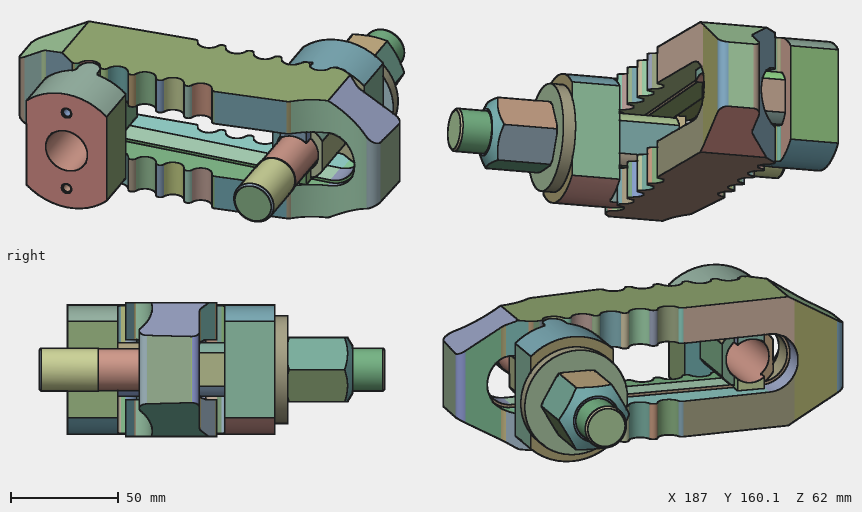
import cadquery as cq
import math


ARM_LENGTH = 187.0
ARM_HEIGHT = 62.0
LAND_Y = 21.1
LEFT_TIP_BACK_Y = 18.1
LEFT_TIP_FRONT_Y = -2.0
RIGHT_TIP_BACK_Y = 13.0
BACK_TAPER_START_X = 24.7
BACK_LAND_END_X = 154.0
RIGHT_TIP_NECK_X = 164.7
FRONT_INCLINE_START_X = 13.8
FRONT_LAND_START_X = 35.7
HOLLOW_START_X = 142.5
HOLLOW_RADIUS = 30.0
HOLLOW_CENTER_X = 163.0
HOLLOW_CENTER_Y = -38.7
RIGHT_CORNER_X = 187.2
NOSE_CORNER_X = 185.7
LEFT_TIP_RADIUS = 4.0
RIGHT_TIP_RADIUS = 3.7
BEND_RADIUS = 3.7
TIP_HEIGHT = 30.7
LEFT_TAPER_LENGTH = 27.7
RIGHT_TAPER_LENGTH = 28.0

GROOVE_COUNT = 5
GROOVE_PITCH = 14.0
TOOTH_RADIUS = 2.0
GROOVE_RADIUS = math.hypot(GROOVE_PITCH / 2, TOOTH_RADIUS) - TOOTH_RADIUS
FRONT_SADDLE_X = 44.0
STUD_X = 142.9

SLOT_WIDTH = 27.9
RIDGE_GAP = 25.0
RIDGE_THICKNESS = 12.3
SLOT_LEFT_CENTER_X = 36.8
SLOT_RIGHT_CENTER_X = 158.8

SADDLE_DIAMETER = 60.0
SADDLE_WIDTH = 40.2
SADDLE_INNER_Y = 24.7
SADDLE_OUTER_Y = 48.0
RIB_FILLET = 1.5
BORE_DIAMETER = 21.0
GUIDE_WIDTH = 24.9
GUIDE_DIAMETER = 29.4
GUIDE_END_Y = -7.3
HOOK_WIDTH = 13.0
HOOK_SPAN = 27.7
HOOK_END_Y = -12.5
PIN_HOLE_DIAMETER = 4.0
PIN_HOLE_DEPTH = 9.4
PIN_HOLE_CHAMFER = 0.5
DRILL_POINT_ANGLE = 118.0
PIN_HOLE_OFFSET = 20.0

WASHER_DIAMETER = 50.1
WASHER_THICKNESS = 6.0
NUT_SIDES = 6
NUT_ACROSS_FLATS = 30.0
NUT_THICKNESS = 30.0
NUT_TOP_DIAMETER = 22.0
NUT_BASE_DIAMETER = 32.5
NUT_CHAMFER_ANGLE = 30.0

STUD_DIAMETER = 20.0
SHANK_DIAMETER = 19.5
STUD_BOTTOM_Y = -61.1
STUD_TOP_Y = 99.0
SHANK_BOTTOM_Y = -33.8
STUD_CHAMFER = 1.0


def cylinder_y(diameter, y_start, y_end, x=0, z=0):
    """Cylinder along Y between two y values."""
    return (
        cq.Workplane("XZ", origin=(x, y_start, z))
        .circle(diameter / 2)
        .extrude(y_start - y_end)
    )


def block(width, y_start, y_end, height):
    """Box centred on x = 0 and z = 0, between two y values."""
    return cq.Workplane("XY").box(width, y_end - y_start, height).translate((0, (y_start + y_end) / 2, 0))


def slot_prism(width, thickness):
    """Round-ended prism along the arm, centred on its middle planes."""
    spacing = SLOT_RIGHT_CENTER_X - SLOT_LEFT_CENTER_X
    middle_x = (SLOT_RIGHT_CENTER_X + SLOT_LEFT_CENTER_X) / 2
    return (
        cq.Workplane("XZ", origin=(middle_x, 0, 0))
        .slot2D(spacing + width, width)
        .extrude(thickness / 2, both=True)
    )


def hollow_y(x):
    """The y of the concave arc under the right tip at a given x."""
    return HOLLOW_CENTER_Y + math.sqrt(HOLLOW_RADIUS**2 - (x - HOLLOW_CENTER_X) ** 2)


def round_edges(body, radius, points):
    """Round the edges along Z that cross the z = 0 plane at the given points."""
    for x, y in points:
        body = body.edges(cq.selectors.NearestToPointSelector((x, y, 0))).fillet(radius)
    return body


def add_teeth(outline, first_x, side, step):
    """Continue an outline along one row of grooves, from crest to crest.

    side is the sign of y of the toothed face, step the sign of the X direction of the row.
    """
    land_y = side * LAND_Y
    groove_share = GROOVE_RADIUS / (GROOVE_RADIUS + TOOTH_RADIUS)
    tangent_dx = step * groove_share * GROOVE_PITCH / 2
    tangent_y = land_y - side * groove_share * TOOTH_RADIUS
    for i in range(GROOVE_COUNT):
        x = first_x + step * i * GROOVE_PITCH
        crest_x = x + step * GROOVE_PITCH / 2
        outline = (
            outline.tangentArcPoint((x - tangent_dx, tangent_y), relative=False)
            .threePointArc((x, land_y - side * GROOVE_RADIUS), (x + tangent_dx, tangent_y))
            .tangentArcPoint((crest_x, land_y), relative=False)
        )
    return outline


def make_arm_blank():
    """Full-height toothed arm with its corners rounded, before the tips are tapered."""
    hollow_start = (HOLLOW_START_X, hollow_y(HOLLOW_START_X))
    hollow_top = (HOLLOW_CENTER_X, HOLLOW_CENTER_Y + HOLLOW_RADIUS)
    nose = (NOSE_CORNER_X, hollow_y(NOSE_CORNER_X))
    outline = (
        cq.Workplane("XY")
        .moveTo(0, LEFT_TIP_FRONT_Y)
        .lineTo(FRONT_INCLINE_START_X, LEFT_TIP_FRONT_Y)
        .lineTo(FRONT_LAND_START_X, -LAND_Y)
        .lineTo(FRONT_SADDLE_X - GROOVE_PITCH / 2, -LAND_Y)
    )
    outline = (
        add_teeth(outline, FRONT_SADDLE_X, side=-1, step=1)
        .lineTo(*hollow_start)
        .threePointArc(hollow_top, nose)
        .lineTo(RIGHT_CORNER_X, RIGHT_TIP_BACK_Y)
        .lineTo(RIGHT_TIP_NECK_X, RIGHT_TIP_BACK_Y)
        .lineTo(BACK_LAND_END_X, LAND_Y)
        .lineTo(STUD_X + GROOVE_PITCH / 2, LAND_Y)
    )
    blank = (
        add_teeth(outline, STUD_X, side=1, step=-1)
        .lineTo(BACK_TAPER_START_X, LEFT_TIP_BACK_Y)
        .lineTo(0, LEFT_TIP_BACK_Y)
        .close()
        .extrude(ARM_HEIGHT / 2, both=True)
    )
    left_corners = [(0, LEFT_TIP_FRONT_Y), (0, LEFT_TIP_BACK_Y)]
    right_corners = [nose, (RIGHT_CORNER_X, RIGHT_TIP_BACK_Y)]
    bends = [
        (FRONT_INCLINE_START_X, LEFT_TIP_FRONT_Y),
        hollow_start,
        (RIGHT_TIP_NECK_X, RIGHT_TIP_BACK_Y),
        (BACK_LAND_END_X, LAND_Y),
    ]
    blank = round_edges(blank, LEFT_TIP_RADIUS, left_corners)
    blank = round_edges(blank, RIGHT_TIP_RADIUS, right_corners)
    return round_edges(blank, BEND_RADIUS, bends)


def taper_tips(arm):
    """Narrow both tips in height."""
    envelope = (
        cq.Workplane("XZ")
        .moveTo(0, -TIP_HEIGHT / 2)
        .lineTo(LEFT_TAPER_LENGTH, -ARM_HEIGHT / 2)
        .lineTo(ARM_LENGTH - RIGHT_TAPER_LENGTH, -ARM_HEIGHT / 2)
        .lineTo(ARM_LENGTH, -TIP_HEIGHT / 2)
        .lineTo(ARM_LENGTH, TIP_HEIGHT / 2)
        .lineTo(ARM_LENGTH - RIGHT_TAPER_LENGTH, ARM_HEIGHT / 2)
        .lineTo(LEFT_TAPER_LENGTH, ARM_HEIGHT / 2)
        .lineTo(0, TIP_HEIGHT / 2)
        .close()
        .extrude(ARM_LENGTH, both=True)
    )
    return arm.intersect(envelope)


def make_arm():
    arm = taper_tips(make_arm_blank())
    ridge = slot_prism(SLOT_WIDTH, RIDGE_THICKNESS).cut(slot_prism(RIDGE_GAP, RIDGE_THICKNESS))
    slot = slot_prism(SLOT_WIDTH, ARM_LENGTH).cut(ridge)
    return arm.cut(slot)


def make_drilled_hole():
    """Hole shape along -Y from the origin, with a chamfered entry and a conical end."""
    radius = PIN_HOLE_DIAMETER / 2
    tip_length = radius / math.tan(math.radians(DRILL_POINT_ANGLE / 2))
    return (
        cq.Workplane("XY")
        .lineTo(radius + PIN_HOLE_CHAMFER, 0)
        .lineTo(radius, -PIN_HOLE_CHAMFER)
        .lineTo(radius, -PIN_HOLE_DEPTH)
        .lineTo(0, -PIN_HOLE_DEPTH - tip_length)
        .close()
        .revolve(360, (0, 0, 0), (0, 1, 0))
    )


def make_saddle():
    """Saddle for the back of the arm, with its bore on the Y axis."""
    nose = cq.Workplane("XY").center(0, LAND_Y).circle(GROOVE_RADIUS).extrude(SADDLE_DIAMETER / 2, both=True)
    neck = block(2 * GROOVE_RADIUS, LAND_Y, SADDLE_INNER_Y, SADDLE_DIAMETER)
    seat = block(SADDLE_WIDTH, SADDLE_INNER_Y, SADDLE_OUTER_Y, SADDLE_DIAMETER)
    profile = seat.union(neck).union(nose)
    rib_roots = [(side * GROOVE_RADIUS, SADDLE_INNER_Y) for side in (-1, 1)]
    profile = round_edges(profile, RIB_FILLET, rib_roots)
    body = profile.intersect(cylinder_y(SADDLE_DIAMETER, 0, SADDLE_OUTER_Y))

    guide = cylinder_y(GUIDE_DIAMETER, GUIDE_END_Y, SADDLE_INNER_Y).intersect(
        block(GUIDE_WIDTH, GUIDE_END_Y, SADDLE_INNER_Y, GUIDE_WIDTH)
    )

    hooks = block(HOOK_WIDTH, HOOK_END_Y, -RIDGE_THICKNESS / 2, HOOK_SPAN)

    saddle = body.union(guide).union(hooks)
    saddle = saddle.cut(cylinder_y(BORE_DIAMETER, HOOK_END_Y, SADDLE_OUTER_Y))

    for z in (-PIN_HOLE_OFFSET, PIN_HOLE_OFFSET):
        saddle = saddle.cut(make_drilled_hole().translate((0, SADDLE_OUTER_Y, z)))
    return saddle


def make_washer():
    washer_top_y = SADDLE_OUTER_Y + WASHER_THICKNESS
    washer = cylinder_y(WASHER_DIAMETER, SADDLE_OUTER_Y, washer_top_y, x=STUD_X)
    return washer.cut(cylinder_y(BORE_DIAMETER, SADDLE_OUTER_Y, washer_top_y, x=STUD_X))


def make_nut():
    corner_radius = NUT_ACROSS_FLATS / 2 / math.cos(math.pi / NUT_SIDES)
    slope = math.tan(math.radians(NUT_CHAMFER_ANGLE))
    top_drop = (corner_radius - NUT_TOP_DIAMETER / 2) * slope
    base_rise = (corner_radius - NUT_BASE_DIAMETER / 2) * slope
    envelope = (
        cq.Workplane("XY")
        .moveTo(STUD_DIAMETER / 2, 0)
        .lineTo(NUT_BASE_DIAMETER / 2, 0)
        .lineTo(corner_radius, base_rise)
        .lineTo(corner_radius, NUT_THICKNESS - top_drop)
        .lineTo(NUT_TOP_DIAMETER / 2, NUT_THICKNESS)
        .lineTo(STUD_DIAMETER / 2, NUT_THICKNESS)
        .close()
        .revolve(360, (0, 0, 0), (0, 1, 0))
    )
    hexagon = cq.Workplane("XZ").polygon(NUT_SIDES, 2 * corner_radius).extrude(-NUT_THICKNESS)
    return hexagon.intersect(envelope).translate((STUD_X, SADDLE_OUTER_Y + WASHER_THICKNESS, 0))


def make_stud():
    """Stud with full-diameter threaded ends and a slightly thinner shank."""
    bottom = cylinder_y(STUD_DIAMETER, STUD_BOTTOM_Y, SHANK_BOTTOM_Y, x=STUD_X)
    bottom = bottom.faces("<Y").chamfer(STUD_CHAMFER)
    shank = cylinder_y(SHANK_DIAMETER, SHANK_BOTTOM_Y, SADDLE_OUTER_Y, x=STUD_X)
    top = cylinder_y(STUD_DIAMETER, SADDLE_OUTER_Y, STUD_TOP_Y, x=STUD_X)
    top = top.faces(">Y").chamfer(STUD_CHAMFER)
    return bottom.union(shank).union(top)


SADDLE_PLACES = [(180, FRONT_SADDLE_X), (0, STUD_X)]

arm = make_arm()
saddles = [make_saddle().rotate((0, 0, 0), (0, 0, 1), turn).translate((x, 0, 0)) for turn, x in SADDLE_PLACES]
washer = make_washer()
nut = make_nut()
stud = make_stud()

result = cq.Compound.makeCompound(
    [arm.val(), *[saddle.val() for saddle in saddles], washer.val(), nut.val(), stud.val()]
)